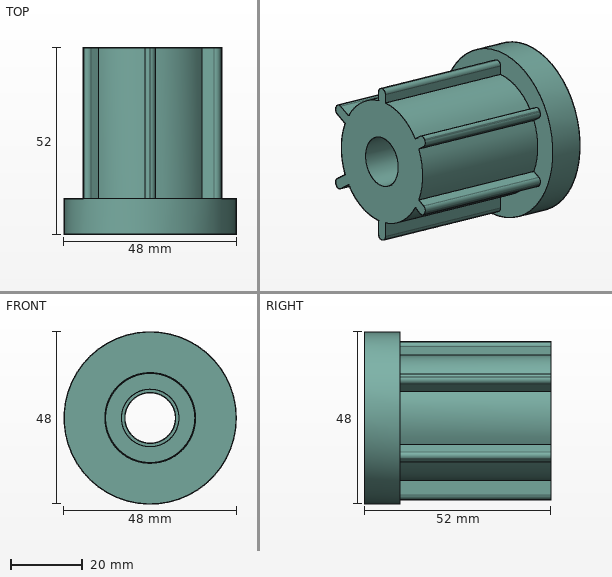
import cadquery as cq

total_length = 52.0
flange_length = 10.0

flange_diameter = 48.0
body_radius = 17.5
bore_radius = 7.0
counterbore_radius = 8.0
counterbore_depth = 0.1

groove_outer_radius = 12.65
groove_width = 0.2
groove_depth = 0.1

rib_width = 3.0
rib_edge_radius = 1.35
short_rib_reach = 21.25
long_rib_reach = 22.8
short_rib_angles = (90, 150, 210)
long_rib_angles = (270, 330, 30)


def cylinder(radius, start, length):
    """Solid cylinder on the Y axis, running from start towards +Y."""
    return cq.Workplane("XZ", origin=(0, start, 0)).circle(radius).extrude(-length)


def rib(reach, angle):
    """Full-length rib with rounded outer edges, turned from +X towards +Z."""
    blank = (
        cq.Workplane("XZ")
        .center((counterbore_radius + reach) / 2, 0)
        .rect(reach - counterbore_radius, rib_width)
        .extrude(-total_length)
    )
    rounded = blank.edges("|Y and >X").fillet(rib_edge_radius)
    return rounded.rotate((0, 0, 0), (0, 1, 0), -angle)


result = cylinder(flange_diameter / 2, 0, flange_length)
result = result.union(cylinder(body_radius, 0, total_length))

for rib_angle in short_rib_angles:
    result = result.union(rib(short_rib_reach, rib_angle))
for rib_angle in long_rib_angles:
    result = result.union(rib(long_rib_reach, rib_angle))

result = result.cut(cylinder(bore_radius, 0, total_length))
result = result.cut(cylinder(counterbore_radius, 0, counterbore_depth))

groove = cylinder(groove_outer_radius, 0, groove_depth)
groove = groove.cut(cylinder(groove_outer_radius - groove_width, 0, groove_depth))
result = result.cut(groove)